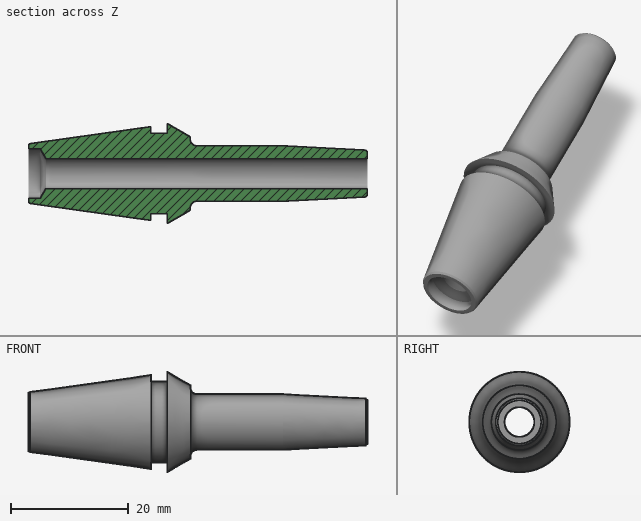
import cadquery as cq
import math

total_length = 57.5
collet_end = 20.8
flange_start = 23.5
flange_end = 27.5
shank_straight_end = 43.2

collet_large_radius = 8.0
collet_half_angle = math.radians(8)
groove_radius = 6.9
flange_radius = 8.54
flange_half_angle = math.radians(30)
shank_radius = 4.75
shank_end_radius = 4.02

tip_chamfer = 0.35
tip_chamfer_drop = 0.2
shank_chamfer = 0.35
shank_fillet = 1.0

mouth_radius = 4.13
mouth_depth = 2.0
bore_radius = 2.5
seat_half_angle = math.radians(60)

collet_tip_radius = collet_large_radius - (collet_end - tip_chamfer) * math.tan(collet_half_angle)
flange_back_radius = flange_radius - (flange_end - flange_start) * math.tan(flange_half_angle)


def make_body():
    """Revolved outer form: collet taper, groove, conical flange and tapered shank."""
    fillet_mid_offset = shank_fillet * (1 - math.sqrt(0.5))
    profile = (
        cq.Workplane("XY")
        .moveTo(0, 0)
        .lineTo(0, collet_tip_radius - tip_chamfer_drop)
        .lineTo(tip_chamfer, collet_tip_radius)
        .lineTo(collet_end, collet_large_radius)
        .lineTo(collet_end, groove_radius)
        .lineTo(flange_start, groove_radius)
        .lineTo(flange_start, flange_radius)
        .lineTo(flange_end, flange_back_radius)
        .lineTo(flange_end, shank_radius + shank_fillet)
        .threePointArc(
            (flange_end + fillet_mid_offset, shank_radius + fillet_mid_offset),
            (flange_end + shank_fillet, shank_radius),
        )
        .lineTo(shank_straight_end, shank_radius)
        .lineTo(total_length - shank_chamfer, shank_end_radius)
        .lineTo(total_length, shank_end_radius - shank_chamfer)
        .lineTo(total_length, 0)
        .close()
    )
    return profile.revolve(360, (0, 0), (1, 0))


def make_bore():
    """Revolved through bore with a wider mouth and a conical seat at the tip."""
    seat_length = (mouth_radius - bore_radius) / math.tan(seat_half_angle)
    profile = (
        cq.Workplane("XY")
        .moveTo(0, 0)
        .lineTo(0, mouth_radius)
        .lineTo(mouth_depth, mouth_radius)
        .lineTo(mouth_depth + seat_length, bore_radius)
        .lineTo(total_length, bore_radius)
        .lineTo(total_length, 0)
        .close()
    )
    return profile.revolve(360, (0, 0), (1, 0))


result = make_body().cut(make_bore())